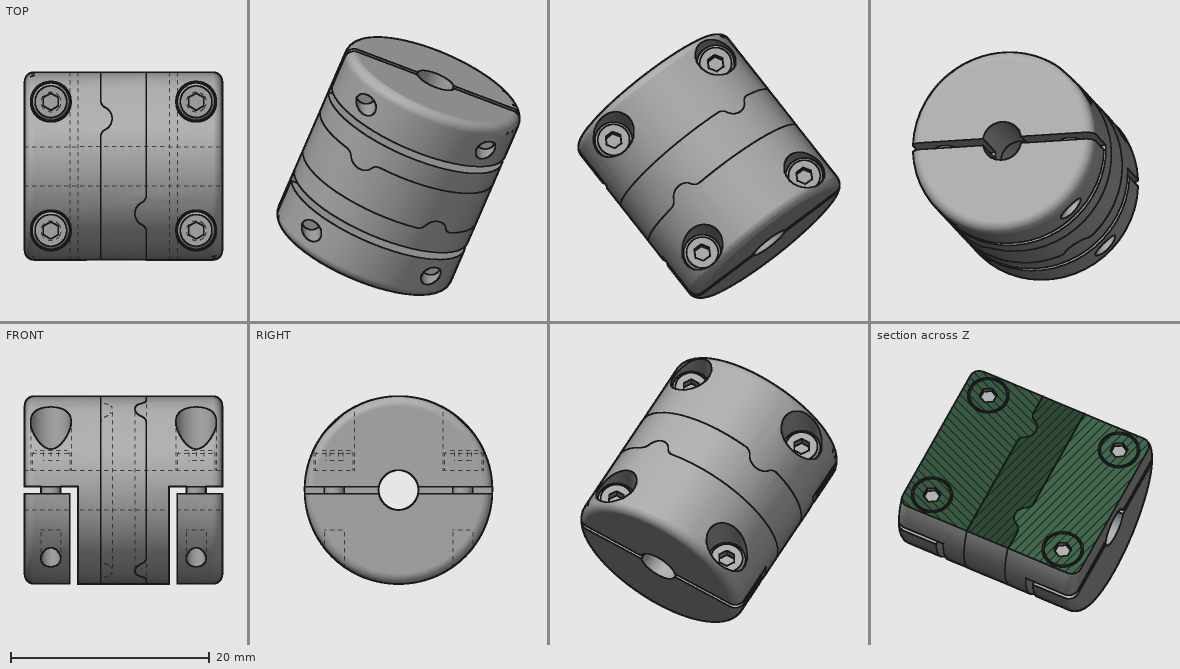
import cadquery as cq
import math

length = 20.0
body_diameter = 19.0
bore_diameter = 4.0
end_fillet = 1.0

element_half_width = 2.3
ridge_offset = 4.8
ridge_diameter = 2.5
ridge_center_x = -2.4
ridge_root_radius = 0.8

cap_length = 4.58
cross_slit_width = 0.8
split_slit_width = 0.7

screw_end_distance = 2.65
screw_spacing = 13.0
shank_diameter = 2.0
head_diameter = 3.8
head_height = 2.0
head_edge_chamfer = 0.3
hex_sides = 6
hex_across_flats = 1.5
hex_depth = 1.0
counterbore_diameter = 4.1
seat_height = 2.0
shank_length = 6.0

half_turn = 180.0

end_x = length / 2
ridge_radius = ridge_diameter / 2
body_radius = body_diameter / 2
screw_x = -end_x + screw_end_distance
screw_y = screw_spacing / 2
head_top = seat_height + head_height
shank_tip = seat_height - shank_length
split_top = split_slit_width / 2
cross_slit_x = -end_x + cap_length


def upright_cylinder(diameter, bottom, top):
    """Cylinder along Z on the Z axis."""
    return cq.Workplane("XY").workplane(offset=bottom).circle(diameter / 2).extrude(top - bottom)


def make_envelope():
    """Rounded cylinder along X with the shaft bore through it."""
    body = cq.Workplane("YZ").workplane(offset=-end_x).circle(body_radius).extrude(length)
    body = body.edges().fillet(end_fillet)
    bore = cq.Workplane("YZ").workplane(offset=-end_x).circle(bore_diameter / 2).extrude(length)
    return body.cut(bore)


def make_hub_region():
    """Space taken by the -X hub: everything up to the joint face, with one ridge across it."""
    joint_x = -element_half_width
    root_x = joint_x + ridge_root_radius
    reach = ridge_radius + ridge_root_radius
    root_dx = root_x - ridge_center_x
    root_dy = math.sqrt(reach**2 - root_dx**2)
    share = ridge_radius / reach
    tangent_x = ridge_center_x + share * root_dx
    tangent_dy = share * root_dy
    turn = math.atan2(root_dy, root_dx)
    middle_x = root_x - ridge_root_radius * math.cos(turn / 2)
    middle_dy = root_dy - ridge_root_radius * math.sin(turn / 2)
    peak_x = ridge_center_x + ridge_radius

    outline = (
        cq.Workplane("XY")
        .workplane(offset=-body_radius)
        .moveTo(-end_x, -body_radius)
        .lineTo(joint_x, -body_radius)
        .lineTo(joint_x, ridge_offset - root_dy)
        .threePointArc((middle_x, ridge_offset - middle_dy), (tangent_x, ridge_offset - tangent_dy))
        .threePointArc((peak_x, ridge_offset), (tangent_x, ridge_offset + tangent_dy))
        .threePointArc((middle_x, ridge_offset + middle_dy), (joint_x, ridge_offset + root_dy))
        .lineTo(joint_x, body_radius)
        .lineTo(-end_x, body_radius)
        .close()
    )
    return outline.extrude(body_diameter)


def make_slit():
    """L-shaped slit: along the axis from the end face, then down behind the cap."""
    along_length = cap_length + cross_slit_width
    along = cq.Workplane("XY").box(
        along_length, body_diameter, split_slit_width, centered=(False, True, True)
    )
    across = cq.Workplane("XY").box(
        cross_slit_width, body_diameter, body_radius + split_top, centered=(False, True, False)
    )
    along = along.translate((-end_x, 0, 0))
    across = across.translate((cross_slit_x, 0, -body_radius))
    return along.union(across)


def make_screw():
    """Socket head screw on the Z axis, seated at the counterbore floor."""
    head = upright_cylinder(head_diameter, seat_height, head_top)
    head = head.faces(">Z").edges().chamfer(head_edge_chamfer)
    hex_across_corners = hex_across_flats / math.cos(math.pi / hex_sides)
    socket = (
        cq.Workplane("XY")
        .workplane(offset=head_top - hex_depth)
        .polygon(hex_sides, hex_across_corners)
        .extrude(hex_depth)
        .rotate((0, 0, 0), (0, 0, 1), half_turn / hex_sides)
    )
    shank = upright_cylinder(shank_diameter, shank_tip, seat_height)
    return head.cut(socket).union(shank)


def make_screw_hole():
    """Counterbore above the seat and a shank hole through the hub and its cap."""
    counterbore = upright_cylinder(counterbore_diameter, seat_height, body_radius)
    shank_hole = upright_cylinder(shank_diameter, -body_radius, seat_height)
    return counterbore.union(shank_hole)


def make_hub(envelope, region):
    """Hub at the -X end; its screws tie the clamp cap to it, so it is one solid."""
    hub = envelope.intersect(region).cut(make_slit())
    hole = make_screw_hole()
    screw = make_screw()
    for y in (-screw_y, screw_y):
        place = (screw_x, y, 0)
        hub = hub.cut(hole.translate(place)).union(screw.translate(place))
    return hub


def turned_half_way(body):
    """The body turned half a turn about the vertical axis, onto the +X end."""
    return body.rotate((0, 0, 0), (0, 0, 1), half_turn)


def make_element(envelope, region):
    """Middle element that fills the space between the two hub joint faces."""
    return envelope.cut(region).cut(turned_half_way(region))


envelope = make_envelope()
hub_region = make_hub_region()

left_hub = make_hub(envelope, hub_region)
right_hub = turned_half_way(left_hub)
element = make_element(envelope, hub_region)

result = cq.Compound.makeCompound([
    left_hub.solids().val(),
    right_hub.solids().val(),
    element.solids().val(),
])